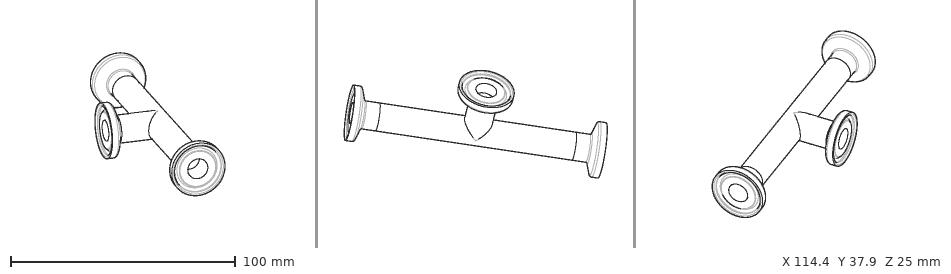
import cadquery as cq
import math

run_length = 114.4
overall_depth = 37.9
tube_diameter = 12.7
bore_diameter = 9.4
end_ferrule_length = 12.7

flange_diameter = 25.0
rim_width = 2.9
cone_angle = math.radians(20)
rim_round = 1.09
neck_fillet = 0.74

groove_outer_diameter = 22.0
groove_floor_inner_diameter = 18.9
groove_wall_top_diameter = 17.3
inner_face_diameter = 16.7
lip_round = 0.7
groove_straight_wall = 0.7
groove_wall_slope = math.radians(50)

tube_radius = tube_diameter / 2
bore_radius = bore_diameter / 2
flange_radius = flange_diameter / 2
branch_reach = overall_depth - flange_radius

cone_outer_radius = flange_radius - rim_round * (1 - math.sin(cone_angle))
cone_outer_depth = rim_width + rim_round * math.cos(cone_angle)
cone_inner_radius = tube_radius + neck_fillet * (1 - math.sin(cone_angle))
cone_inner_depth = cone_outer_depth + (cone_outer_radius - cone_inner_radius) * math.tan(cone_angle)
flange_depth = cone_inner_depth + neck_fillet * math.cos(cone_angle)

mid_turn = (math.pi / 2 - cone_angle) / 2
rim_mid = (
    flange_radius - rim_round * (1 - math.cos(mid_turn)),
    rim_width + rim_round * math.sin(mid_turn),
)
neck_mid = (
    tube_radius + neck_fillet * (1 - math.cos(mid_turn)),
    flange_depth - neck_fillet * math.sin(mid_turn),
)

groove_outer_radius = groove_outer_diameter / 2
groove_floor_inner_radius = groove_floor_inner_diameter / 2
groove_wall_top_radius = groove_wall_top_diameter / 2
inner_face_radius = inner_face_diameter / 2
groove_mouth_radius = groove_outer_radius + lip_round

floor_round = (groove_outer_radius - groove_floor_inner_radius) / (1 + math.sin(groove_wall_slope))
edge_round = (groove_wall_top_radius - inner_face_radius) / math.sin(groove_wall_slope)

floor_edge_depth = lip_round + groove_straight_wall
groove_depth = floor_edge_depth + floor_round
wall_bottom_depth = groove_depth - floor_round * (1 - math.cos(groove_wall_slope))
wall_height = (groove_floor_inner_radius - groove_wall_top_radius) * math.tan(groove_wall_slope)
wall_top_depth = wall_bottom_depth - wall_height
inner_face_depth = wall_top_depth - edge_round * (1 - math.cos(groove_wall_slope))

groove_bottom = (groove_outer_radius - floor_round, groove_depth)
lip_mid = (
    groove_mouth_radius - lip_round * math.sin(math.pi / 4),
    lip_round * (1 - math.cos(math.pi / 4)),
)
edge_mid = (
    inner_face_radius + edge_round * math.sin(groove_wall_slope / 2),
    inner_face_depth + edge_round * (1 - math.cos(groove_wall_slope / 2)),
)


def make_ferrule(length, face_center, inward):
    """Ferrule with its face at face_center, its tube end pointing along inward."""
    profile = (
        cq.Workplane("XZ")
        .moveTo(bore_radius, inner_face_depth)
        .lineTo(inner_face_radius, inner_face_depth)
        .threePointArc(edge_mid, (groove_wall_top_radius, wall_top_depth))
        .lineTo(groove_floor_inner_radius, wall_bottom_depth)
        .threePointArc(groove_bottom, (groove_outer_radius, floor_edge_depth))
        .lineTo(groove_outer_radius, lip_round)
        .threePointArc(lip_mid, (groove_mouth_radius, 0))
        .lineTo(flange_radius, 0)
        .lineTo(flange_radius, rim_width)
        .threePointArc(rim_mid, (cone_outer_radius, cone_outer_depth))
        .lineTo(cone_inner_radius, cone_inner_depth)
        .threePointArc(neck_mid, (tube_radius, flange_depth))
    )
    if length > flange_depth:
        profile = profile.lineTo(tube_radius, length)
    ferrule = profile.lineTo(bore_radius, length).close().revolve(360, (0, 0), (0, 1))
    placement = cq.Plane(origin=face_center, xDir=(0, 0, 1), normal=inward)
    return ferrule.val().moved(cq.Location(placement))


def make_cross_rods(radius):
    """Run rod along X joined to a branch rod toward -Y, both of one radius."""
    half_run = run_length / 2 - end_ferrule_length
    run = cq.Workplane("YZ").circle(radius).extrude(half_run, both=True)
    branch = cq.Workplane("XZ").circle(radius).extrude(branch_reach - flange_depth)
    return run.union(branch)


tee = make_cross_rods(tube_radius).cut(make_cross_rods(bore_radius))

run_ferrules = [
    make_ferrule(end_ferrule_length, (side * run_length / 2, 0, 0), (-side, 0, 0))
    for side in (-1, 1)
]

branch_ferrule = make_ferrule(flange_depth, (0, -branch_reach, 0), (0, 1, 0))

result = cq.Compound.makeCompound([tee.val(), *run_ferrules, branch_ferrule])